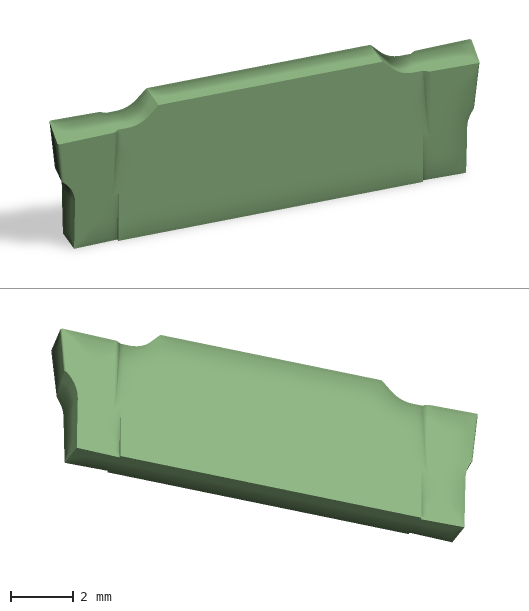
import cadquery as cq
import math

length = 14.7
tip_width = 1.5
height = 4.8

blade_width = 1.12
blade_end = 5.22
foot_end = 6.72

tip_top = 4.17
ridge_end = 3.84
ridge_radius = 1.0
ridge_slope = math.radians(45)

hollow_start = 1.76
hollow_radius = 1.15
hollow_sweep = math.radians(70)

lead_angle = math.radians(10)
side_taper = math.radians(2)
side_draft = math.radians(2.9)
end_clearance = math.radians(5.5)
corner_radius = 0.07

shoulder_y = 5.4
shoulder_angle = math.radians(36)
shoulder_radius = 0.19
rear_edge_margin = 0.01
infill_end = 5.88


def line_crossing(first, second):
    """Meeting point of two lines, each given as (normal angle, distance from origin)."""
    a1, d1 = first
    a2, d2 = second
    det = math.sin(a2 - a1)
    x = (d1 * math.sin(a2) - d2 * math.sin(a1)) / det
    y = (d2 * math.cos(a1) - d1 * math.cos(a2)) / det
    return x, y


def tangent_distance(angle, center):
    """Distance from the origin to the corner circle's tangent with this normal angle."""
    return center[0] * math.cos(angle) + center[1] * math.sin(angle) + corner_radius


def side_x(z, y):
    """Half-width of the tapered and drafted tip at height z and position y."""
    angle = -side_taper
    center = (tip_width / 2 - corner_radius, length / 2 - corner_radius)
    reach = tangent_distance(angle, center)
    top_x = (reach - y * math.sin(angle)) / math.cos(angle)
    return top_x - (tip_top - z) * math.tan(side_draft)


def end_corners(z):
    """Unrounded left and right corners of the slanted end face at height z."""
    center = (-tip_width / 2 + corner_radius, length / 2 - corner_radius)
    face_angle = math.pi / 2 - lead_angle
    setback = (tip_top - z) * math.tan(end_clearance)
    face = (face_angle, tangent_distance(face_angle, center) - setback)
    reach = side_x(z, 0) * math.cos(side_taper)
    left = line_crossing((math.pi + side_taper, reach), face)
    right = line_crossing((-side_taper, reach), face)
    return left, right


def tip_outline(z, with_shoulder):
    left, right = end_corners(z)
    if with_shoulder:
        shoulder_x = side_x(z, shoulder_y)
        root_x = shoulder_x - (shoulder_y - blade_end) * math.tan(shoulder_angle)
        rear = [(shoulder_x, shoulder_y), (root_x, blade_end)]
    else:
        rear = [(side_x(z, blade_end), blade_end)]
    mirrored = [(-x, y) for x, y in reversed(rear)]
    return [left, right] + rear + mirrored


def tip_block(with_shoulder):
    return (
        cq.Workplane("XY")
        .polyline(tip_outline(0, with_shoulder))
        .close()
        .workplane(offset=tip_top)
        .polyline(tip_outline(tip_top, with_shoulder))
        .close()
        .loft(ruled=True, combine=True)
    )


def upright_edges(block, y_min, y_max):
    """Near-vertical edges whose midpoints lie between two Y positions."""
    edges = [
        edge for edge in block.edges().vals()
        if edge.BoundingBox().zlen > tip_top / 2 and y_min < edge.Center().y < y_max
    ]
    return block.newObject(edges)


def cutting_tip():
    tip = tip_block(with_shoulder=True)
    tip = upright_edges(tip, infill_end, length).fillet(corner_radius)
    tip = upright_edges(tip, blade_end + rear_edge_margin, infill_end).fillet(shoulder_radius)
    infill_length = infill_end - blade_end
    slab = cq.Workplane("XY").box(blade_width, infill_length, height, centered=(True, False, False))
    infill = tip_block(with_shoulder=False).intersect(slab.translate((0, blade_end, 0)))
    return tip.union(infill)


def side_profile():
    """Outline along Y and Z, with ridge and hollows, wider than the tips along X."""
    arc_rise = ridge_radius * (1 - math.cos(ridge_slope))
    arc_top_z = tip_top + arc_rise
    arc_top_y = ridge_end + (height - arc_top_z) / math.tan(ridge_slope)
    arc_foot_y = arc_top_y + ridge_radius * math.sin(ridge_slope)
    ridge_mid = (
        arc_foot_y - ridge_radius * math.sin(ridge_slope / 2),
        tip_top + ridge_radius * (1 - math.cos(ridge_slope / 2)),
    )

    def hollow_point(sweep):
        y = foot_end + hollow_radius * (1 - math.cos(sweep))
        z = hollow_start + hollow_radius * math.sin(sweep)
        return y, z

    hollow_end = hollow_point(hollow_sweep)
    half = (
        cq.Workplane("YZ")
        .lineTo(foot_end, 0)
        .lineTo(foot_end, hollow_start)
        .threePointArc(hollow_point(hollow_sweep / 2), hollow_end)
        .lineTo(hollow_end[0], tip_top)
        .lineTo(arc_foot_y, tip_top)
        .threePointArc(ridge_mid, (arc_top_y, arc_top_z))
        .lineTo(ridge_end, height)
        .lineTo(0, height)
        .close()
        .extrude(tip_width, both=True)
    )
    return half.union(half.mirror("XZ"))


blade = cq.Workplane("XY").box(blade_width, 2 * blade_end, height, centered=(True, True, False))
tip = cutting_tip()
opposite_tip = tip.rotate((0, 0, 0), (0, 0, 1), 180)
result = blade.union(tip).union(opposite_tip).intersect(side_profile())